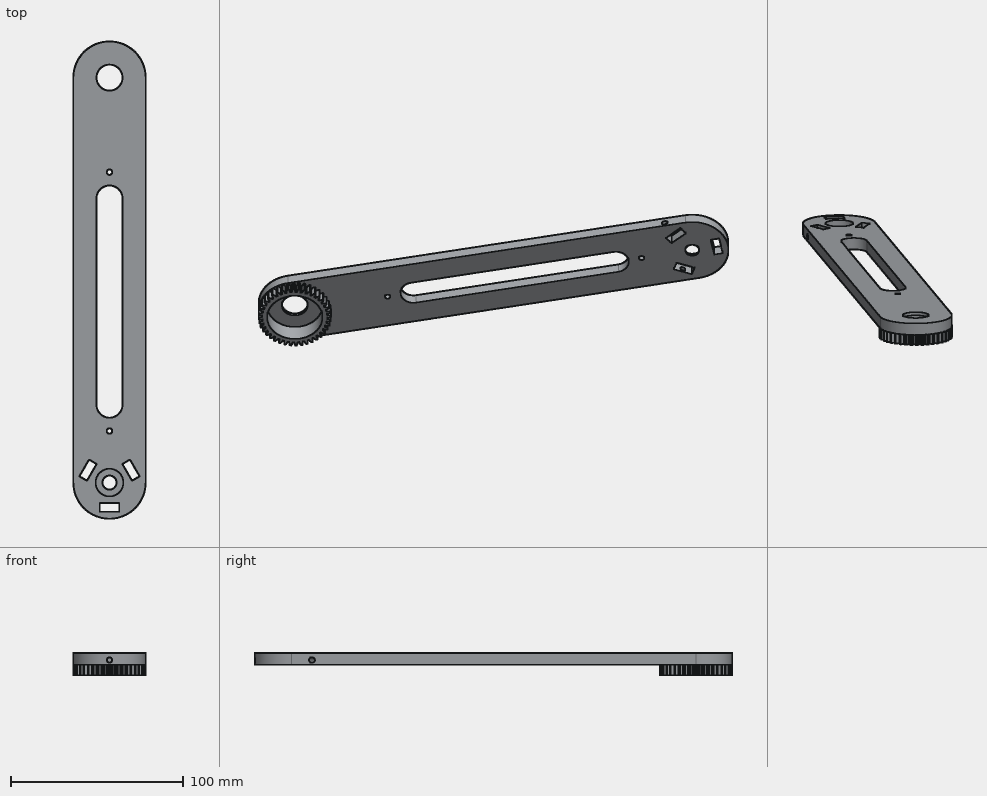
import cadquery as cq
import math

LENGTH = 277.0
WIDTH = 42.0
END_RADIUS = WIDTH / 2
TOTAL_HEIGHT = 13.0
GEAR_HEIGHT = 6.0
PLATE_THICKNESS = TOTAL_HEIGHT - GEAR_HEIGHT
GEAR_Y = LENGTH / 2 - END_RADIUS
PIVOT_Y = -GEAR_Y

TOOTH_COUNT = 40
MODULE = WIDTH / (TOOTH_COUNT + 2)
PITCH_RADIUS = MODULE * TOOTH_COUNT / 2
DEDENDUM = 1.25 * MODULE
ROOT_RADIUS = PITCH_RADIUS - DEDENDUM
PRESSURE_ANGLE = math.radians(20)
BASE_RADIUS = PITCH_RADIUS * math.cos(PRESSURE_ANGLE)
GAP_CUTTER_RADIUS = END_RADIUS + MODULE

BEARING_DIAMETER = 32.0
BEARING_LIP = 2.0
SHAFT_HOLE_DIAMETER = 15.0

SLOT_WIDTH = SHAFT_HOLE_DIAMETER
SLOT_LENGTH = 134.5
SLOT_CENTER_Y = -12.5
SMALL_HOLE_DIAMETER = 3.0
SMALL_HOLE_SPACING = 150.0

PIVOT_HOLE_DIAMETER = 8.0
COUNTERBORE_DIAMETER = 16.0
COUNTERBORE_DEPTH = 6.0

POCKET_ANGLES = (-90, 30, 150)
POCKET_DISTANCE = 14.5
POCKET_THICKNESS = 5.0
POCKET_WIDTH = 11
SCREW_HOLE_DIAMETER = SMALL_HOLE_DIAMETER
SCREW_HOLE_Z = 9.0


def cylinder(diameter, height, y, z):
    """Upright cylinder on the centre line, starting at height z."""
    return cq.Workplane("XY").circle(diameter / 2).extrude(height).translate((0, y, z))


def polar(radius, angle):
    """Point at a radius and an angle in degrees."""
    radians = math.radians(angle)
    return radius * math.cos(radians), radius * math.sin(radians)


def make_plate():
    return (
        cq.Workplane("XY", origin=(0, 0, GEAR_HEIGHT))
        .slot2D(LENGTH, WIDTH, 90)
        .extrude(PLATE_THICKNESS)
    )


def involute(pressure_angle):
    """Involute function of a pressure angle in radians."""
    return math.tan(pressure_angle) - pressure_angle


def half_gap_angle(radius):
    """Half the angle, in degrees, of the gap between two involute teeth at a radius."""
    local_pressure_angle = math.acos(min(1, BASE_RADIUS / radius))
    half_gap_at_pitch = math.pi / (2 * TOOTH_COUNT)
    return math.degrees(half_gap_at_pitch - involute(PRESSURE_ANGLE) + involute(local_pressure_angle))


def make_tooth_gap():
    """Cutter for the gap on the +X axis, continued past the tooth tips."""
    root = half_gap_angle(ROOT_RADIUS)
    pitch = half_gap_angle(PITCH_RADIUS)
    tip = half_gap_angle(END_RADIUS)
    return (
        cq.Workplane("XY")
        .moveTo(*polar(ROOT_RADIUS, -root))
        .threePointArc(polar(PITCH_RADIUS, -pitch), polar(END_RADIUS, -tip))
        .lineTo(*polar(GAP_CUTTER_RADIUS, -tip))
        .lineTo(*polar(GAP_CUTTER_RADIUS, tip))
        .lineTo(*polar(END_RADIUS, tip))
        .threePointArc(polar(PITCH_RADIUS, pitch), polar(ROOT_RADIUS, root))
        .threePointArc((ROOT_RADIUS, 0), polar(ROOT_RADIUS, -root))
        .close()
        .extrude(GEAR_HEIGHT)
    )


def make_gear():
    """Spur gear with one tooth centred on the +X axis."""
    gear = cylinder(2 * END_RADIUS, GEAR_HEIGHT, 0, 0)
    gap = make_tooth_gap()
    pitch_angle = 360 / TOOTH_COUNT
    for tooth in range(TOOTH_COUNT):
        gear = gear.cut(gap.rotate((0, 0, 0), (0, 0, 1), (tooth + 0.5) * pitch_angle))
    return gear.translate((0, GEAR_Y, 0))


def make_bearing_seat():
    shaft_hole = cylinder(SHAFT_HOLE_DIAMETER, TOTAL_HEIGHT, GEAR_Y, 0)
    seat = cylinder(BEARING_DIAMETER, TOTAL_HEIGHT - BEARING_LIP, GEAR_Y, 0)
    return shaft_hole.union(seat)


def make_slot_and_small_holes():
    cutter = (
        cq.Workplane("XY")
        .center(0, SLOT_CENTER_Y)
        .slot2D(SLOT_LENGTH, SLOT_WIDTH, 90)
        .extrude(TOTAL_HEIGHT)
    )
    for side in (-1, 1):
        hole_y = SLOT_CENTER_Y + side * SMALL_HOLE_SPACING / 2
        cutter = cutter.union(cylinder(SMALL_HOLE_DIAMETER, TOTAL_HEIGHT, hole_y, 0))
    return cutter


def make_pivot_hole():
    hole = cylinder(PIVOT_HOLE_DIAMETER, TOTAL_HEIGHT, PIVOT_Y, 0)
    counterbore_floor = TOTAL_HEIGHT - COUNTERBORE_DEPTH
    return hole.union(cylinder(COUNTERBORE_DIAMETER, COUNTERBORE_DEPTH, PIVOT_Y, counterbore_floor))


def make_nut_pocket(angle):
    """Through pocket and horizontal screw hole running outward from it."""
    pocket = (
        cq.Workplane("XY")
        .center(POCKET_DISTANCE, 0)
        .rect(POCKET_THICKNESS, POCKET_WIDTH)
        .extrude(TOTAL_HEIGHT)
    )
    screw_hole = (
        cq.Workplane("YZ", origin=(POCKET_DISTANCE, 0, SCREW_HOLE_Z))
        .circle(SCREW_HOLE_DIAMETER / 2)
        .extrude(WIDTH)
    )
    cutter = pocket.union(screw_hole)
    return cutter.rotate((0, 0, 0), (0, 0, 1), angle).translate((0, PIVOT_Y, 0))


result = make_plate().union(make_gear())
result = result.cut(make_bearing_seat())
result = result.cut(make_slot_and_small_holes())
result = result.cut(make_pivot_hole())
for pocket_angle in POCKET_ANGLES:
    result = result.cut(make_nut_pocket(pocket_angle))